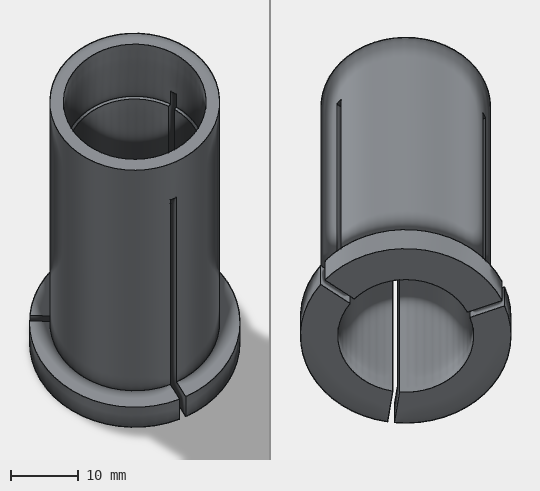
import cadquery as cq

total_height = 60.0
tube_diameter = 25.0
flange_diameter = 31.0
flange_thickness = 5.0

bore_diameter = 20.0
counterbore_diameter = 21.0
counterbore_depth = 13.0

slot_width = 1.0
front_slot_height = 51.0
back_slot_height = 50.15
back_slot_angle = 90.0
slot_spacing = 120.0


def cylinder(diameter, height, base_z=0.0):
    """Upright cylinder centred on the Z axis."""
    return cq.Workplane("XY").workplane(offset=base_z).circle(diameter / 2).extrude(height)


def sleeve_body():
    """Tube with a flange at its lower end and a stepped bore."""
    body = cylinder(tube_diameter, total_height).union(cylinder(flange_diameter, flange_thickness))
    body = body.cut(cylinder(bore_diameter, total_height))
    counterbore_floor = total_height - counterbore_depth
    return body.cut(cylinder(counterbore_diameter, counterbore_depth, counterbore_floor))


def slot_cutter(angle, height):
    """Radial slot from the axis through the wall and flange, open at the bottom."""
    cutter = cq.Workplane("XY").box(
        flange_diameter, slot_width, height, centered=(False, True, False)
    )
    return cutter.rotate((0, 0, 0), (0, 0, 1), angle)


slot_heights = (back_slot_height, front_slot_height, front_slot_height)

result = sleeve_body()
for index, slot_height in enumerate(slot_heights):
    result = result.cut(slot_cutter(back_slot_angle + index * slot_spacing, slot_height))